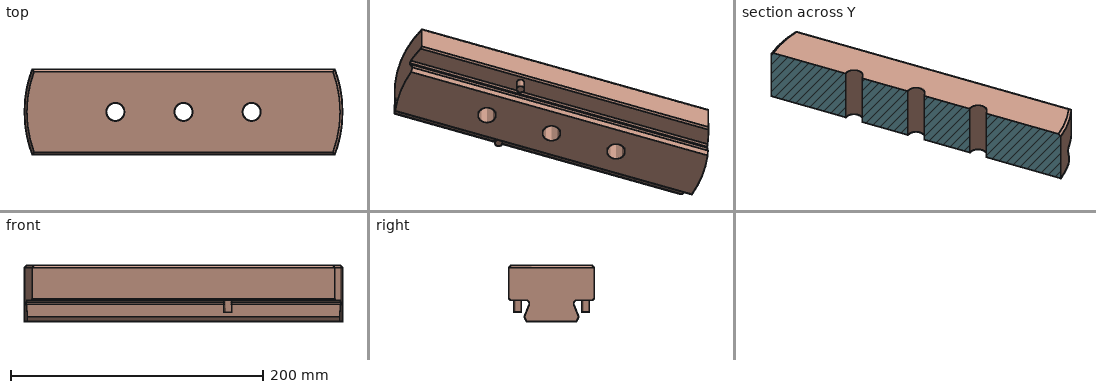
import cadquery as cq

length = 252.5
width = 68.0
height = 45.0
end_bow = 6.3
top_chamfer = 2.0
lower_chamfer = 1.5

block_bottom = 17.0
waist_half = 17.7
waist_relief = 1.5
waist_height = 14.0
rail_half = 21.7
rail_height = 3.8
foot_half = 19.7

hole_diameter = 14.1
hole_pitch = 54.0
hole_count = 3

pin_diameter = 6.0
pin_x = 35.0
pin_y = 27.0
pin_bottom = 7.5
pin_embed = 2.5


def bowed_plate():
    """Plan shape with bowed ends and the whole top edge chamfered."""
    corner_x = length / 2 - end_bow
    side_y = width / 2
    return (
        cq.Workplane("XY")
        .moveTo(-corner_x, -side_y)
        .lineTo(corner_x, -side_y)
        .threePointArc((length / 2, 0), (corner_x, side_y))
        .lineTo(-corner_x, side_y)
        .threePointArc((-length / 2, 0), (-corner_x, -side_y))
        .close()
        .extrude(height)
        .faces(">Z")
        .chamfer(top_chamfer)
    )


def cross_section():
    """Block and dovetail rail, symmetric about the centre plane, along the full length."""
    half_width = width / 2
    right_side = [
        (foot_half, 0),
        (rail_half, rail_height),
        (waist_half, waist_height),
        (waist_half, block_bottom - waist_relief),
        (waist_half + waist_relief, block_bottom),
        (half_width - lower_chamfer, block_bottom),
        (half_width, block_bottom + lower_chamfer),
        (half_width, height),
    ]
    left_side = [(-y, z) for y, z in reversed(right_side)]
    return (
        cq.Workplane("YZ")
        .polyline(right_side + left_side)
        .close()
        .extrude(length / 2, both=True)
    )


def through_holes():
    return (
        cq.Workplane("XY")
        .rarray(hole_pitch, 2.5, hole_count, 1)
        .circle(hole_diameter / 2)
        .extrude(height)
    )


def stop_pins():
    return (
        cq.Workplane("XY", origin=(0, 0, pin_bottom))
        .pushPoints([(pin_x, -pin_y), (pin_x, pin_y)])
        .circle(pin_diameter / 2)
        .extrude(block_bottom + pin_embed - pin_bottom)
    )


result = bowed_plate().intersect(cross_section()).cut(through_holes()).union(stop_pins())